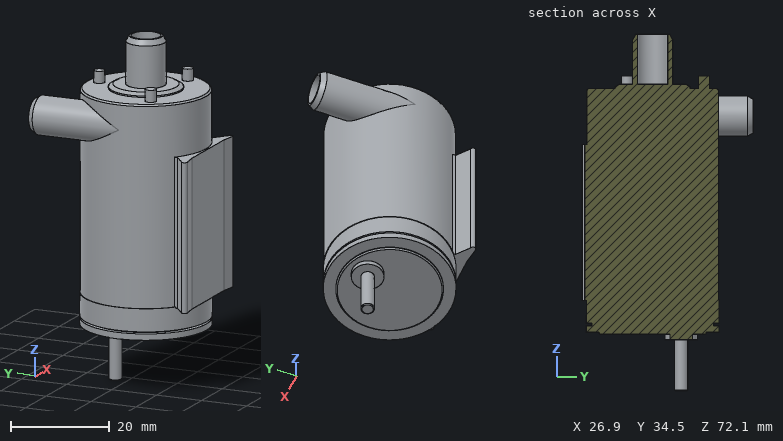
import cadquery as cq

base_diameter = 26.9
base_radius = base_diameter / 2
housing_radius = 13.3
base_height = 6.6
overall_height = 72.1
housing_top = 49.3
housing_edge = 0.35
groove_bottom = 1.4
groove_top = 1.8
groove_depth = 1.1
plate_radius = 10.9
plate_thickness = 0.4
plate_edge = 0.3

collar_radius = 7.65
collar_top_radius = 6.7
collar_height = 0.9
collar_rim = 0.3

tube_radius = 4.1
bore_radius = 3.0
tube_chamfer_length = 1.15
tube_chamfer_width = 0.65
inlet_length = 10.95
outlet_length = 20.3
outlet_z = 43.7
bore_depth = inlet_length - collar_height

pin_count = 3
pin_radius = 1.15
pin_height = 2.5
pin_circle_radius = 10.4

shaft_x = -2.3
shaft_y = 5.8
shaft_radius = 1.4
shaft_bottom = housing_top + inlet_length - overall_height
shaft_edge = 0.2
boss_radius = 3.3
boss_bottom = -1.5

foot_bottom = 6.4
foot_top = 38.0
foot_recess_y = -13.8
foot_lip_y = -14.2
foot_recess_half_width = 7.7
foot_lip_half_width = 10.9
foot_half_width = 11.7
foot_tip_y = -13.6
foot_flank_half_width = 11.25
foot_flank_y = -13.05
foot_neck_half_width = 8.5
foot_neck_y = -10.9


def cylinder(radius, bottom, top, x=0, y=0):
    return cq.Workplane("XY", origin=(x, y, bottom)).circle(radius).extrude(top - bottom)


def make_housing():
    groove_radius = base_radius - groove_depth
    profile = [
        (0, -plate_thickness),
        (plate_radius - plate_edge, -plate_thickness),
        (plate_radius, plate_edge - plate_thickness),
        (plate_radius, 0),
        (base_radius, 0),
        (base_radius, groove_bottom),
        (groove_radius, groove_bottom),
        (groove_radius, groove_top),
        (base_radius, groove_top),
        (base_radius, base_height),
        (housing_radius, base_height),
        (housing_radius, housing_top - housing_edge),
        (housing_radius - housing_edge, housing_top),
        (collar_radius, housing_top),
        (collar_radius, housing_top + collar_rim),
        (collar_top_radius, housing_top + collar_height),
        (0, housing_top + collar_height),
    ]
    return cq.Workplane("XZ").polyline(profile).close().revolve(360, (0, 0), (0, 1))


def make_tube(length):
    """Tube along +Z from the origin, with a tapered mouth and a blind bore."""
    profile = [
        (0, 0),
        (tube_radius, 0),
        (tube_radius, length - tube_chamfer_length),
        (tube_radius - tube_chamfer_width, length),
        (bore_radius, length),
        (bore_radius, length - bore_depth),
        (0, length - bore_depth),
    ]
    return cq.Workplane("XZ").polyline(profile).close().revolve(360, (0, 0), (0, 1))


def make_bore(length):
    return cylinder(bore_radius, length - bore_depth, length)


def place_outlet(body):
    """Turn a body along +Z to +Y, flush with the -X side of the housing."""
    outlet_x = tube_radius - housing_radius
    return body.rotate((0, 0, 0), (1, 0, 0), -90).translate((outlet_x, 0, outlet_z))


def make_pins():
    pins = cq.Workplane("XY").workplane(offset=housing_top)
    pins = pins.polarArray(pin_circle_radius, 90, 360, pin_count)
    return pins.circle(pin_radius).extrude(pin_height)


def make_shaft():
    boss = cylinder(boss_radius, boss_bottom, 0, shaft_x, shaft_y)
    shaft = cylinder(shaft_radius, shaft_bottom, 0, shaft_x, shaft_y)
    return boss.union(shaft.faces("<Z").chamfer(shaft_edge))


def make_foot():
    """Flared dovetail foot with rounded tips and a shallow recess underneath."""
    outline = (
        cq.Workplane("XY", origin=(0, 0, foot_bottom))
        .lineTo(0, foot_recess_y)
        .lineTo(foot_recess_half_width, foot_recess_y)
        .lineTo(foot_lip_half_width, foot_lip_y)
        .threePointArc((foot_half_width, foot_tip_y), (foot_flank_half_width, foot_flank_y))
        .lineTo(foot_neck_half_width, foot_neck_y)
        .lineTo(foot_neck_half_width, 0)
        .close()
    )
    half = outline.extrude(foot_top - foot_bottom)
    return half.union(half.mirror("YZ"))


result = make_housing().union(make_foot())
result = result.union(make_tube(inlet_length).translate((0, 0, housing_top)))
result = result.union(place_outlet(make_tube(outlet_length)))
result = result.cut(place_outlet(make_bore(outlet_length)))
result = result.union(make_pins())
result = result.union(make_shaft())